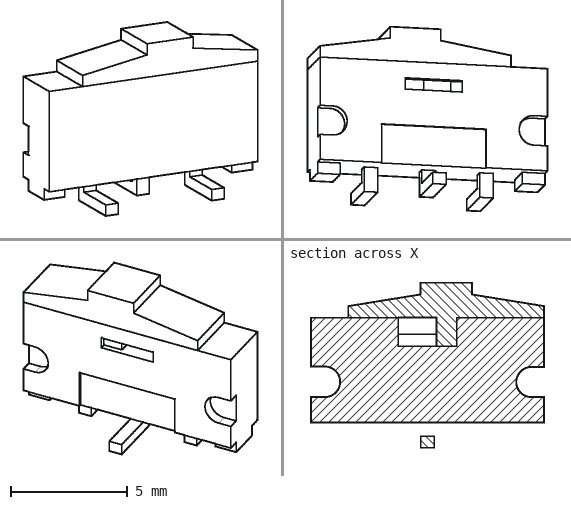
import cadquery as cq


housing_thickness = 2.5
housing_length = 10.0
housing_height = 4.5
face_x = -housing_thickness / 2

foot_thickness = 1.5
foot_length = 1.0
foot_height = 0.5

notch_depth = 0.5
front_notch_radius = 0.65
rear_notch_radius = 0.64
front_notch_reach = 1.25
rear_notch_reach = 1.19
notch_bottom_z = 1.1

recess_length = 4.6
recess_height = 1.7
recess_depth = 0.1

window_length = 2.5
window_height = 0.5
window_bottom_z = 3.28
wall_thickness = 0.25
cavity_thickness = housing_thickness - 2 * wall_thickness

slider_length = 8.4
slider_center_y = (housing_length - slider_length) / 2
slider_edge_height = 0.5
slider_ridge_height = 1.0
knob_length = 2.22
knob_top_height = 1.5
stem_length = 0.87
stem_center_y = (window_length - stem_length) / 2
stem_height = housing_height - window_bottom_z

terminal_width = 0.6
terminal_thickness = 0.5
terminal_drop = 1.08
terminal_reach = 2.35
terminal_pitch = 2.54

def block(size_x, size_y, size_z, bottom_center):
    """Box standing on the given bottom centre point."""
    box = cq.Workplane("XY").box(size_x, size_y, size_z, centered=(True, True, False))
    return box.translate(bottom_center)

def end_notch(end, reach, radius):
    """Round-ended cutter reaching inward from the housing end on the given Y side (+1 or -1)."""
    end_y = end * housing_length / 2
    tip_y = end_y - end * reach
    arc_y = tip_y + end * radius
    center_z = notch_bottom_z + radius
    top_z = notch_bottom_z + 2 * radius
    return (
        cq.Workplane("YZ", origin=(face_x, 0, 0))
        .moveTo(end_y, notch_bottom_z)
        .lineTo(arc_y, notch_bottom_z)
        .threePointArc((tip_y, center_z), (arc_y, top_z))
        .lineTo(end_y, top_z)
        .close()
        .extrude(notch_depth)
    )

def make_housing():
    """Block with two feet, end notches, a face recess and the windowed slider cavity."""
    body = block(housing_thickness, housing_length, housing_height, (0, 0, 0))
    for end in (1, -1):
        foot_y = end * (housing_length - foot_length) / 2
        body = body.union(block(foot_thickness, foot_length, foot_height, (0, foot_y, -foot_height)))
    body = body.cut(end_notch(-1, front_notch_reach, front_notch_radius))
    body = body.cut(end_notch(1, rear_notch_reach, rear_notch_radius))
    body = body.cut(block(recess_depth, recess_length, recess_height, (face_x + recess_depth / 2, 0, 0)))
    body = body.cut(block(cavity_thickness, window_length, stem_height, (0, 0, window_bottom_z)))
    window_x = face_x + wall_thickness / 2
    return body.cut(block(wall_thickness, window_length, window_height, (window_x, 0, window_bottom_z)))

def make_slider():
    """Sloped cap with a raised knob, and a stem hanging into the housing cavity."""
    edge_z = housing_height + slider_edge_height
    ridge_z = housing_height + slider_ridge_height
    knob_z = housing_height + knob_top_height
    half_length = slider_length / 2
    half_knob = knob_length / 2
    cap = (
        cq.Workplane("YZ", origin=(face_x, slider_center_y, 0))
        .moveTo(-half_length, housing_height)
        .lineTo(half_length, housing_height)
        .lineTo(half_length, edge_z)
        .lineTo(half_knob, ridge_z)
        .lineTo(half_knob, knob_z)
        .lineTo(-half_knob, knob_z)
        .lineTo(-half_knob, ridge_z)
        .lineTo(-half_length, edge_z)
        .close()
        .extrude(housing_thickness)
    )
    stem = block(cavity_thickness, stem_length, stem_height, (0, stem_center_y, window_bottom_z))
    return cap.union(stem)

def make_terminal(center_y, side):
    """L-shaped terminal: a leg below the housing and a lead toward the given X side (+1 or -1)."""
    leg = block(terminal_thickness, terminal_width, terminal_drop, (0, center_y, -terminal_drop))
    lead_x = side * terminal_reach / 2
    lead = block(terminal_reach, terminal_width, terminal_thickness, (lead_x, center_y, -terminal_drop))
    return leg.union(lead)

housing = make_housing()
slider = make_slider()
terminals = []
for position in (-1, 0, 1):
    lead_side = -1 if position == 0 else 1
    terminals.append(make_terminal(position * terminal_pitch, lead_side).val())

result = cq.Compound.makeCompound([housing.val(), slider.val(), *terminals])